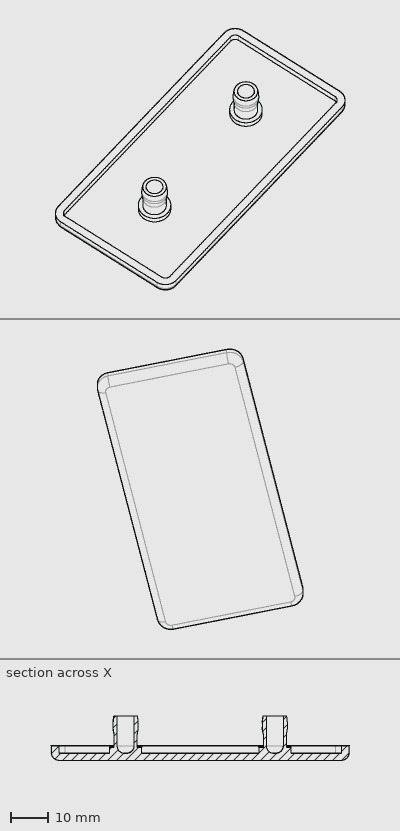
import cadquery as cq

WIDTH = 40.0
LENGTH = 80.0
TRAY_HEIGHT = 4.0
WALL = 2.2
CORNER_RADIUS = 3.7
BOTTOM_RADIUS = 2.2
FLOOR_THICKNESS = 2.0

POST_SPACING = LENGTH / 2
TOTAL_HEIGHT = 12.0
FLANGE_DIAMETER = 8.7
FLANGE_TOP = 3.6
SHAFT_DIAMETER = 6.3
BEAD_DIAMETER = 6.9
BEAD_BAND_HEIGHT = 1.0
BEAD_CURVE_HEIGHT = 2.0
BEAD_CURVE_FULLNESS = 0.75

BORE_DIAMETER = 4.5
BORE_TIP_RADIUS = 0.3
BORE_BOTTOM = FLOOR_THICKNESS


def make_tray():
    """Rounded tray with its rim at TRAY_HEIGHT."""
    tray = (
        cq.Workplane("XY")
        .rect(WIDTH, LENGTH)
        .extrude(TRAY_HEIGHT)
        .edges("|Z")
        .fillet(CORNER_RADIUS)
        .faces("<Z")
        .edges()
        .fillet(BOTTOM_RADIUS)
    )
    recess = (
        cq.Workplane("XY")
        .workplane(offset=FLOOR_THICKNESS)
        .rect(WIDTH - 2 * WALL, LENGTH - 2 * WALL)
        .extrude(TRAY_HEIGHT - FLOOR_THICKNESS)
        .edges("|Z")
        .fillet(CORNER_RADIUS - WALL)
    )
    return tray.cut(recess)


def make_post():
    """Flange, shaft and rounded bead, revolved about the post axis."""
    root = FLOOR_THICKNESS / 2
    shaft_radius = SHAFT_DIAMETER / 2
    bead_radius = BEAD_DIAMETER / 2
    flange_radius = FLANGE_DIAMETER / 2
    band_top = TOTAL_HEIGHT - BEAD_CURVE_HEIGHT
    band_bottom = band_top - BEAD_BAND_HEIGHT
    bead_bottom = band_bottom - BEAD_CURVE_HEIGHT
    bead_mid_radius = shaft_radius + BEAD_CURVE_FULLNESS * (bead_radius - shaft_radius)
    profile = (
        cq.Workplane("XZ")
        .moveTo(0, root)
        .lineTo(flange_radius, root)
        .lineTo(flange_radius, FLANGE_TOP)
        .lineTo(shaft_radius, FLANGE_TOP)
        .lineTo(shaft_radius, bead_bottom)
        .threePointArc(
            (bead_mid_radius, bead_bottom + BEAD_CURVE_HEIGHT / 2),
            (bead_radius, band_bottom),
        )
        .lineTo(bead_radius, band_top)
        .threePointArc(
            (bead_mid_radius, band_top + BEAD_CURVE_HEIGHT / 2),
            (shaft_radius, TOTAL_HEIGHT),
        )
        .lineTo(0, TOTAL_HEIGHT)
        .close()
    )
    return profile.revolve(360, (0, 0, 0), (0, 1, 0))


def make_bore():
    """Round-ended cutter for the hole in a post."""
    radius = BORE_DIAMETER / 2
    return (
        cq.Workplane("XY")
        .workplane(offset=BORE_BOTTOM)
        .circle(radius)
        .extrude(TOTAL_HEIGHT - BORE_BOTTOM)
        .faces("<Z")
        .edges()
        .fillet(radius - BORE_TIP_RADIUS)
    )


result = make_tray()
for side in (-1, 1):
    position = (0, side * POST_SPACING / 2, 0)
    result = result.union(make_post().translate(position))
    result = result.cut(make_bore().translate(position))